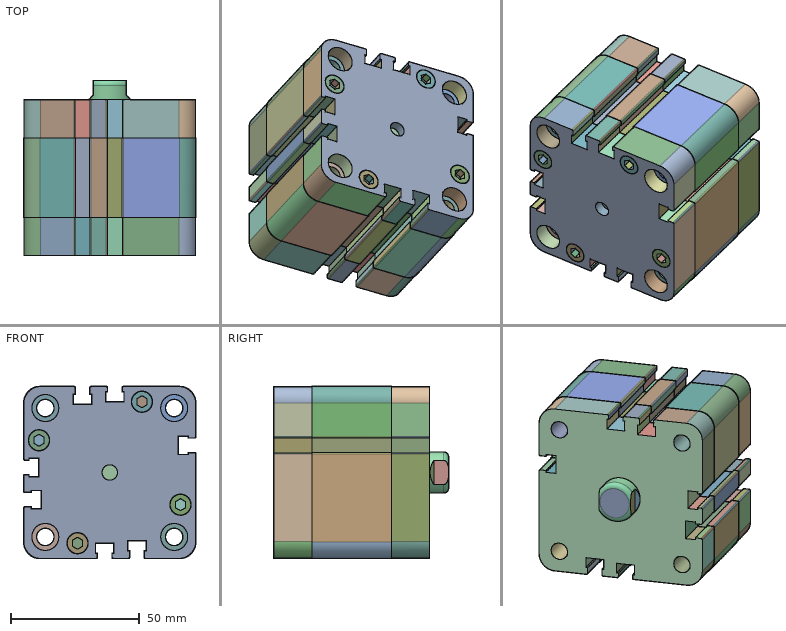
import cadquery as cq
side = 67.0
overall_length = 68.0
rod_length = 7.5
body_length = overall_length - rod_length
half = side / 2
front_y = -overall_length / 2
back_y = front_y + body_length

cap_length = 14.8
cap_inset = 0.15
tube_length = body_length - 2 * cap_length
corner_radius = 6.45

slot_mouth_width = 5.5
slot_head_width = 7.0
slot_mouth_round = 0.55
deep_slot = (-10.55, 3.1, 6.9)
shallow_slot = (2.0, 2.2, 5.9)

mount_offset = 25.0
mount_hole_diameter = 6.65
counterbore_diameter = 10.5
counterbore_depth = 6.5

screw_along = 12.5
screw_out = 27.5
screw_recess_diameter = 8.2
screw_head_diameter = 8.0
screw_gap_depth = 0.7
socket_flats = 4.0
socket_depth = 3.4

center_hole_diameter = 6.0
center_hole_depth = 4.1

rod_diameter = 16.0
rod_tip_round = 2.0
flat_width = 13.0
flat_length = 5.8


def front_plane(y):
    """Sketch plane at height y with X right and Z up; extruding negatively goes to +Y."""
    return cq.Workplane("XZ", origin=(0, y, 0))


def rounded_block(size, corner_radius, start_y, length):
    """Square block with rounded long edges."""
    return front_plane(start_y).rect(size, size).extrude(-length).edges("|Y").fillet(corner_radius)


def cap(start_y):
    """End cap, slightly smaller all round than the tube."""
    return rounded_block(side - 2 * cap_inset, corner_radius, start_y, cap_length)


def tube():
    """Middle section."""
    return rounded_block(side, corner_radius, front_y + cap_length, tube_length)


def t_slot(position, lip_depth, depth, clearance, start_y, length):
    """T-slot cutter for the top face; the clearance moves every slot wall back into the metal."""
    face = half - clearance
    mouth = slot_mouth_width / 2 + clearance
    head = slot_head_width / 2 + clearance
    lip = half - lip_depth + clearance
    floor = half - depth - clearance
    flare = mouth + slot_mouth_round
    return (
        front_plane(start_y)
        .moveTo(position - flare, face)
        .radiusArc((position - mouth, face - slot_mouth_round), slot_mouth_round)
        .lineTo(position - mouth, lip)
        .lineTo(position - head, lip)
        .lineTo(position - head, floor)
        .lineTo(position + head, floor)
        .lineTo(position + head, lip)
        .lineTo(position + mouth, lip)
        .lineTo(position + mouth, face - slot_mouth_round)
        .radiusArc((position + flare, face), slot_mouth_round)
        .close()
        .extrude(-length)
    )


def cut_slots(section, clearance, start_y, length):
    """Slots in all four faces, in steps of a quarter turn; the right face has only the deep one."""
    for quarter_turns in range(4):
        slots = [deep_slot] if quarter_turns == 1 else [deep_slot, shallow_slot]
        for slot in slots:
            cutter = t_slot(*slot, clearance, start_y, length)
            section = section.cut(cutter.rotate((0, 0, 0), (0, 1, 0), 90 * quarter_turns))
    return section


def mounting_holes():
    """Through holes with a counterbore in the front cap."""
    spots = front_plane(front_y).rect(2 * mount_offset, 2 * mount_offset, forConstruction=True).vertices()
    holes = spots.circle(mount_hole_diameter / 2).extrude(-body_length)
    bores = spots.circle(counterbore_diameter / 2).extrude(-counterbore_depth)
    return holes.union(bores)


def screw_recesses():
    """Ring gap around each screw head and the hexagon socket in it."""
    centers = [
        (screw_along, screw_out),
        (screw_out, -screw_along),
        (-screw_along, -screw_out),
        (-screw_out, screw_along),
    ]
    spots = front_plane(front_y).pushPoints(centers)
    recess = spots.circle(screw_recess_diameter / 2).extrude(-screw_gap_depth)
    heads = spots.circle(screw_head_diameter / 2).extrude(-screw_gap_depth)
    cutters = recess.cut(heads)
    for x, z in centers:
        hexagon = front_plane(front_y).polygon(6, socket_flats, circumscribed=True).extrude(-socket_depth)
        cutters = cutters.union(hexagon.translate((x, 0, z)))
    return cutters


def rod():
    """Piston rod: rounded tip, two flats that run out at 45 degrees."""
    shaft = front_plane(back_y).circle(rod_diameter / 2).extrude(-rod_length)
    shaft = shaft.faces(">Y").edges().fillet(rod_tip_round)
    flat = flat_width / 2
    runout = rod_length - flat_length
    tip_y = back_y + rod_length
    keep = (
        cq.Workplane("XY")
        .moveTo(-flat, tip_y)
        .lineTo(flat, tip_y)
        .lineTo(flat, tip_y - flat_length)
        .lineTo(flat + runout, back_y)
        .lineTo(-flat - runout, back_y)
        .lineTo(-flat, tip_y - flat_length)
        .close()
        .extrude(rod_diameter, both=True)
    )
    return shaft.intersect(keep)


front_cap = cut_slots(cap(front_y), cap_inset, front_y, cap_length)
middle = cut_slots(tube(), 0, front_y + cap_length, tube_length)
back_cap = cut_slots(cap(back_y - cap_length), cap_inset, back_y - cap_length, cap_length)
body = front_cap.union(middle).union(back_cap)
center_hole = front_plane(front_y).circle(center_hole_diameter / 2).extrude(-center_hole_depth)

result = body.cut(mounting_holes()).cut(screw_recesses()).cut(center_hole).union(rod())